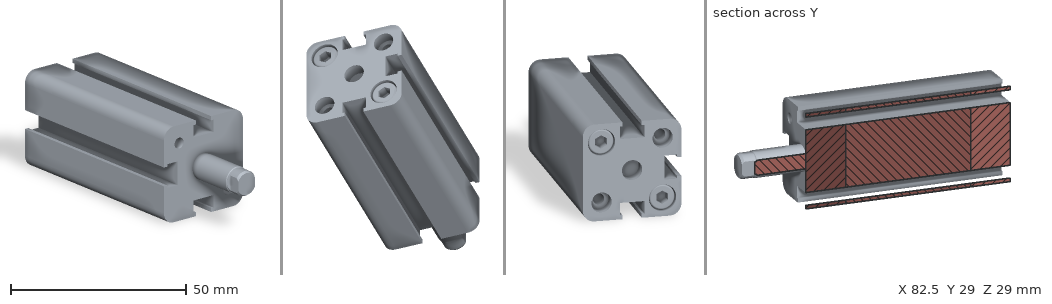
import cadquery as cq

total_length = 82.5
side = 29.0
cap_length = 12.2
barrel_length = 38.5
half_side = side / 2
barrel_start = cap_length
front_cap_start = barrel_start + barrel_length
housing_length = front_cap_start + cap_length

corner_radius = 3.5
slot_mouth_width = 5.7
slot_inner_width = 7.2
slot_depth = 4.95
slot_lip = 1.2
slot_turns = (-90, 0, 90)

hole_offset = 9.0
mounting_hole_places = [(-hole_offset, hole_offset), (hole_offset, -hole_offset)]
screw_places = [(hole_offset, hole_offset), (-hole_offset, -hole_offset)]
through_hole_diameter = 3.3
bore_diameter = 5.9
mounting_bore_depth = 3.5
central_bore_depth = 4.0

counterbore_diameter = 8.0
counterbore_depth = 4.0
head_diameter = 7.5
head_recess = 0.5
head_round = 0.5
socket_sides = 6
socket_across_flats = 3.5
socket_depth = 3.0

rod_diameter = 8.0
rod_shank_length = 15.0
neck_diameter = 7.6
neck_across_flats = 6.1
end_chamfer_length = 0.75
end_diameter = 6.7
rod_radius = rod_diameter / 2
neck_radius = neck_diameter / 2
end_radius = end_diameter / 2
shoulder_start = housing_length + rod_shank_length


def cylinder(diameter, start, length, place=(0, 0)):
    """Cylinder along +X from X = start, centred on place = (Y, Z)."""
    y, z = place
    return cq.Workplane("YZ", origin=(start, y, z)).circle(diameter / 2).extrude(length)


def t_slot(start, length):
    """T-slot cutter for the -Y side: a narrow mouth and a wider channel behind its lips."""
    middle_x = start + length / 2
    mouth = cq.Workplane("XY").box(length, slot_depth, slot_mouth_width)
    mouth = mouth.translate((middle_x, slot_depth / 2 - half_side, 0))
    channel_depth = slot_depth - slot_lip
    channel = cq.Workplane("XY").box(length, channel_depth, slot_inner_width)
    channel = channel.translate((middle_x, slot_lip + channel_depth / 2 - half_side, 0))
    return mouth.union(channel)


def housing_section(start, length):
    """Slotted square section with the through mounting holes."""
    section = cq.Workplane("YZ", origin=(start, 0, 0)).rect(side, side).extrude(length)
    section = section.edges("|X").fillet(corner_radius)
    for turn in slot_turns:
        section = section.cut(t_slot(start, length).rotate((0, 0, 0), (1, 0, 0), turn))
    for place in mounting_hole_places:
        section = section.cut(cylinder(through_hole_diameter, start, length, place))
    return section


def screw_head(place):
    """Rounded screw head with a hexagon socket whose points face up and down."""
    head = cylinder(head_diameter, head_recess, counterbore_depth - head_recess, place)
    head = head.faces("<X").edges().fillet(head_round)
    y, z = place
    socket = cq.Workplane("YZ", origin=(head_recess, y, z))
    socket = socket.polygon(socket_sides, socket_across_flats, circumscribed=True).extrude(socket_depth)
    return head.cut(socket)


def make_rear_cap():
    """Rear end section with a central blind bore, bored mounting holes and sunken screw heads."""
    cap = housing_section(0, cap_length)
    cap = cap.cut(cylinder(bore_diameter, 0, central_bore_depth))
    for place in mounting_hole_places:
        cap = cap.cut(cylinder(bore_diameter, 0, mounting_bore_depth, place))
    for place in screw_places:
        cap = cap.cut(cylinder(counterbore_diameter, 0, counterbore_depth, place))
        cap = cap.union(screw_head(place))
    return cap


def make_rod():
    """Round rod with a 45-degree shoulder, a reduced neck and two wrench flats on the neck."""
    neck_start = shoulder_start + rod_radius - neck_radius
    rod = (
        cq.Workplane("XZ")
        .moveTo(housing_length, 0)
        .lineTo(housing_length, rod_radius)
        .lineTo(shoulder_start, rod_radius)
        .lineTo(neck_start, neck_radius)
        .lineTo(total_length - end_chamfer_length, neck_radius)
        .lineTo(total_length, end_radius)
        .lineTo(total_length, 0)
        .close()
        .revolve(360, (0, 0, 0), (1, 0, 0))
    )
    flat_y = neck_across_flats / 2
    flat_start = shoulder_start + rod_radius - flat_y
    flat_cut = (
        cq.Workplane("XY", origin=(0, 0, -rod_radius))
        .moveTo(shoulder_start, rod_radius)
        .lineTo(flat_start, flat_y)
        .lineTo(total_length, flat_y)
        .lineTo(total_length, rod_radius)
        .close()
        .extrude(rod_diameter)
    )
    return rod.cut(flat_cut).cut(flat_cut.mirror("XZ"))


rear_cap = make_rear_cap()
barrel = housing_section(barrel_start, barrel_length)
front_cap = housing_section(front_cap_start, cap_length)
rod = make_rod()

result = cq.Compound.makeCompound([rear_cap.val(), barrel.val(), front_cap.val(), rod.val()])